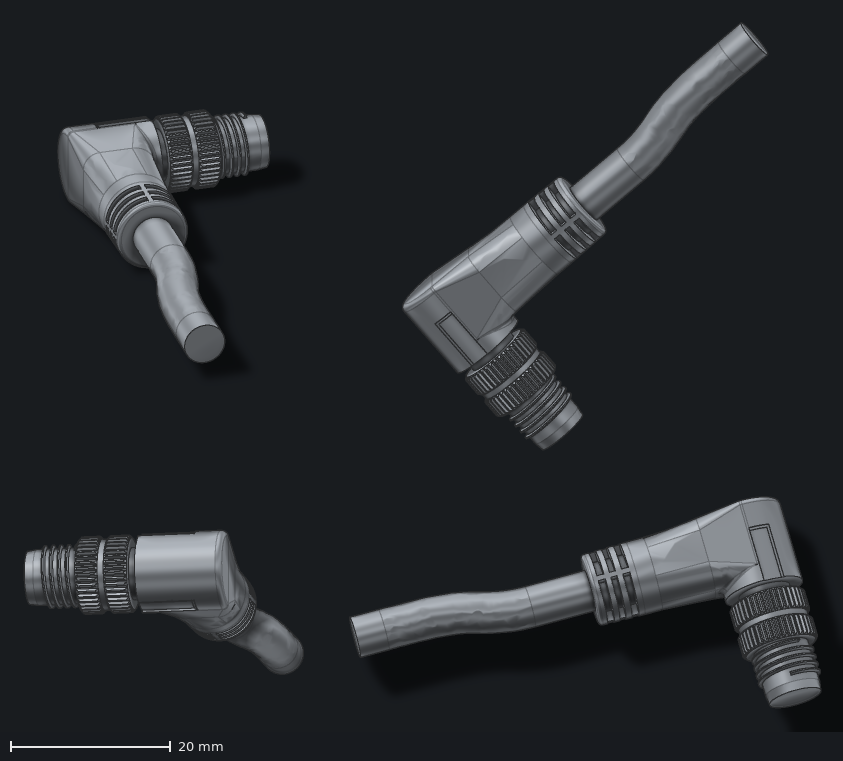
import cadquery as cq
import math


total_length = 56.0
total_depth = 25.4
total_height = 10.0

elbow_radius = total_height / 2
elbow_top = 6.0
elbow_corner = 0.7
elbow_boot_overlap = 1.7
label_left = -2.6
label_bottom = -1.1
label_depth = 0.15
label_step = 0.35
label_step_depth = 0.3

plug_end = total_depth - elbow_radius
neck_radius = 3.3
nut_start = 7.1
nut_end = 13.7
nut_radius = 4.9
nut_chamfer = 0.35
knurl_teeth = 40
knurl_depth = 0.35
nut_groove_start = 10.1
nut_groove_end = 10.85
nut_groove_radius = 4.5
sleeve_radius = 3.5
sleeve_taper_start = 19.25
sleeve_tip_radius = 3.35
thread_radius = 4.0
thread_pitch = 1.0
thread_turns = 4.1
thread_end = 18.2
thread_base = 0.55
thread_crest = 0.15
thread_overlap = 0.1

boot_start = 0.3
boot_middle = 6.0
boot_round_start = 12.9
boot_end = 21.0
boot_radius = 4.7
boot_end_radius = 4.6
boot_taper_start = 15.1
boot_end_fillet = 0.45
joint_fillet = 0.55
boot_start_flats = (elbow_radius - elbow_corner, 3.65)
boot_middle_flats = (2.6, 1.7)
boot_round_flats = (2.35, 1.55)
slot_starts = (15.9, 17.6, 19.1)
slot_widths = (0.9, 0.8, 0.9)
slot_floor_radius = 3.3
slot_rib_width = 0.7

cable_radius = 2.65
cable_end = total_length - elbow_radius
cable_offset = -2.1
bend_start = 28.8
bend_end = 47.25
bend_middle = (35.6, -1.1)
bend_slope = -0.31


def y_cylinder(radius, start, end):
    """Solid cylinder around the Y axis."""
    return cq.Workplane("XZ", origin=(0, start, 0)).circle(radius).extrude(start - end)


def x_cylinder(radius, start, end):
    """Solid cylinder around the X axis."""
    return cq.Workplane("YZ", origin=(start, 0, 0)).circle(radius).extrude(end - start)


def make_elbow():
    """Cylinder with one closed rounded end; on the boot side only its upper part is kept."""
    body = y_cylinder(elbow_radius, -elbow_radius, elbow_top).faces("<Y").edges().fillet(elbow_corner)
    size = 4 * elbow_radius
    boot_side = cq.Workplane("XY").box(size, size, size, centered=(False, False, True))
    boot_side = boot_side.translate((0, elbow_boot_overlap - size, 0))
    return body.cut(boot_side)


def label_pocket(inset, depth):
    """Pockets on +Z and -Z with a floor concentric with the elbow, open at the elbow top."""
    left = label_left + inset
    bottom = label_bottom + inset
    strip = cq.Workplane("XY").box(-left, elbow_top - bottom, 4 * elbow_radius, centered=(False, False, True))
    strip = strip.translate((left, bottom, 0))
    return strip.cut(y_cylinder(elbow_radius - depth, bottom, elbow_top))


def boot_section(x, half_size, flats, is_round):
    """Closed wire at x: four sides and four corner arcs.

    flats holds how far the sides run from the axis before the -Y corners and the +Y corners begin.
    A round section is the same outline with every point on one circle.
    """
    lower, upper = flats

    def reach(flat):
        return math.sqrt(half_size**2 - flat**2) if is_round else half_size

    def corner_middle(flat):
        if is_round:
            return half_size * math.sqrt(0.5)
        return flat + (half_size - flat) * math.sqrt(0.5)

    def side(outline, middle, end):
        return outline.threePointArc(middle, end) if is_round else outline.lineTo(*end)

    lower_reach, upper_reach = reach(lower), reach(upper)
    lower_middle, upper_middle = corner_middle(lower), corner_middle(upper)
    outline = cq.Workplane("YZ", origin=(x, 0, 0)).moveTo(-lower, lower_reach)
    outline = side(outline, (0, half_size), (upper, upper_reach))
    outline = outline.threePointArc((upper_middle, upper_middle), (upper_reach, upper))
    outline = side(outline, (half_size, 0), (upper_reach, -upper))
    outline = outline.threePointArc((upper_middle, -upper_middle), (upper, -upper_reach))
    outline = side(outline, (0, -half_size), (-lower, -lower_reach))
    outline = outline.threePointArc((-lower_middle, -lower_middle), (-lower_reach, -lower))
    outline = side(outline, (-half_size, 0), (-lower_reach, lower))
    outline = outline.threePointArc((-lower_middle, lower_middle), (-lower, lower_reach))
    return outline.close().val()


def loft(near, far):
    """Ruled solid between two sections."""
    return cq.Workplane(cq.Solid.makeLoft([near, far], True))


def make_housing():
    """Elbow and square part of the boot with a fillet between them, then the change to round."""
    strip = boot_section(0, elbow_radius, boot_start_flats, False)
    start = boot_section(boot_start, elbow_radius, boot_start_flats, False)
    middle = boot_section(boot_middle, boot_radius, boot_middle_flats, False)
    round_end = boot_section(boot_round_start, boot_radius, boot_round_flats, True)

    housing = make_elbow().union(loft(start, middle))
    joint_region = cq.selectors.BoxSelector(
        (2 * boot_start, boot_start_flats[1] / 2, -elbow_radius),
        (boot_middle, elbow_radius, elbow_radius),
    )
    joint = housing.edges(joint_region).filter(
        lambda edge: math.hypot(edge.Center().x, edge.Center().z) < elbow_radius
    )
    housing = joint.fillet(joint_fillet)
    housing = housing.union(loft(strip, start)).union(loft(middle, round_end))
    return housing.cut(label_pocket(0, label_depth)).cut(label_pocket(label_step, label_step_depth))


def make_grip():
    """Round end of the boot with three rings of slots between four lengthwise ribs."""
    grip = (
        cq.Workplane("XY")
        .moveTo(boot_round_start, 0)
        .lineTo(boot_round_start, boot_radius)
        .lineTo(boot_taper_start, boot_radius)
        .lineTo(boot_end, boot_end_radius)
        .lineTo(boot_end, 0)
        .close()
        .revolve(360, (0, 0, 0), (1, 0, 0))
        .faces(">X").edges().fillet(boot_end_fillet)
    )
    for start, width in zip(slot_starts, slot_widths):
        ring = x_cylinder(2 * boot_radius, start, start + width)
        ring = ring.cut(x_cylinder(slot_floor_radius, start, start + width))
        rib = cq.Workplane("XY").box(width, slot_rib_width, 4 * boot_radius)
        rib = rib.translate((start + width / 2, 0, 0))
        ring = ring.cut(rib).cut(rib.rotate((0, 0, 0), (1, 0, 0), 90))
        grip = grip.cut(ring)
    return grip


def make_nut():
    """Knurled nut: a toothed prism trimmed by a chamfered cylinder, split by a plain groove."""
    root_radius = nut_radius - knurl_depth
    tooth_angle = 2 * math.pi / knurl_teeth
    outline = []
    for tooth in range(knurl_teeth):
        for step, radius in enumerate((nut_radius, nut_radius, root_radius, root_radius)):
            angle = tooth_angle * (tooth + step / 4)
            outline.append((radius * math.cos(angle), radius * math.sin(angle)))
    length = nut_end - nut_start
    teeth = cq.Workplane("XZ", origin=(0, nut_start, 0)).polyline(outline).close().extrude(-length)
    lower = y_cylinder(nut_radius, nut_start, nut_groove_start).edges().chamfer(nut_chamfer)
    upper = y_cylinder(nut_radius, nut_groove_end, nut_end).edges().chamfer(nut_chamfer)
    core = y_cylinder(nut_groove_radius, nut_groove_start - nut_chamfer, nut_groove_end + nut_chamfer)
    return teeth.intersect(lower.union(upper)).union(core)


def make_sleeve():
    """Neck and threaded sleeve with a slightly tapered tip."""
    return (
        cq.Workplane("XY")
        .lineTo(neck_radius, 0)
        .lineTo(neck_radius, nut_groove_start)
        .lineTo(sleeve_radius, nut_groove_start)
        .lineTo(sleeve_radius, sleeve_taper_start)
        .lineTo(sleeve_tip_radius, plug_end)
        .lineTo(0, plug_end)
        .close()
        .revolve(360, (0, 0, 0), (0, 1, 0))
    )


def make_thread():
    """Right-hand ridge that begins just past the nut and ends on the +Z side of the sleeve."""
    height = thread_turns * thread_pitch
    root = sleeve_radius - thread_overlap
    path = cq.Wire.makeHelix(thread_pitch, height, root)
    ridge = (
        cq.Workplane("XZ")
        .moveTo(root, -thread_base / 2)
        .lineTo(thread_radius, -thread_crest / 2)
        .lineTo(thread_radius, thread_crest / 2)
        .lineTo(root, thread_base / 2)
        .close()
        .sweep(cq.Workplane(path), isFrenet=True)
    )
    start_angle = 270 - 360 * thread_turns
    ridge = ridge.rotate((0, 0, 0), (0, 0, 1), start_angle).rotate((0, 0, 0), (1, 0, 0), -90)
    return ridge.translate((0, thread_end - height, 0))


def make_cable():
    """Round cable swept along a straight run, the S-bend and a straight end."""
    path = (
        cq.Workplane("XY")
        .moveTo(boot_round_start, 0)
        .lineTo(bend_start, 0)
        .spline(
            [bend_middle, (bend_end, cable_offset)],
            tangents=[(1, 0), (1, bend_slope), (1, 0)],
            includeCurrent=True,
        )
        .lineTo(cable_end, cable_offset)
    )
    return cq.Workplane("YZ", origin=(boot_round_start, 0, 0)).circle(cable_radius).sweep(path)


plug = make_sleeve().union(make_thread()).union(make_nut())
result = make_housing().union(make_grip()).union(make_cable()).union(plug)